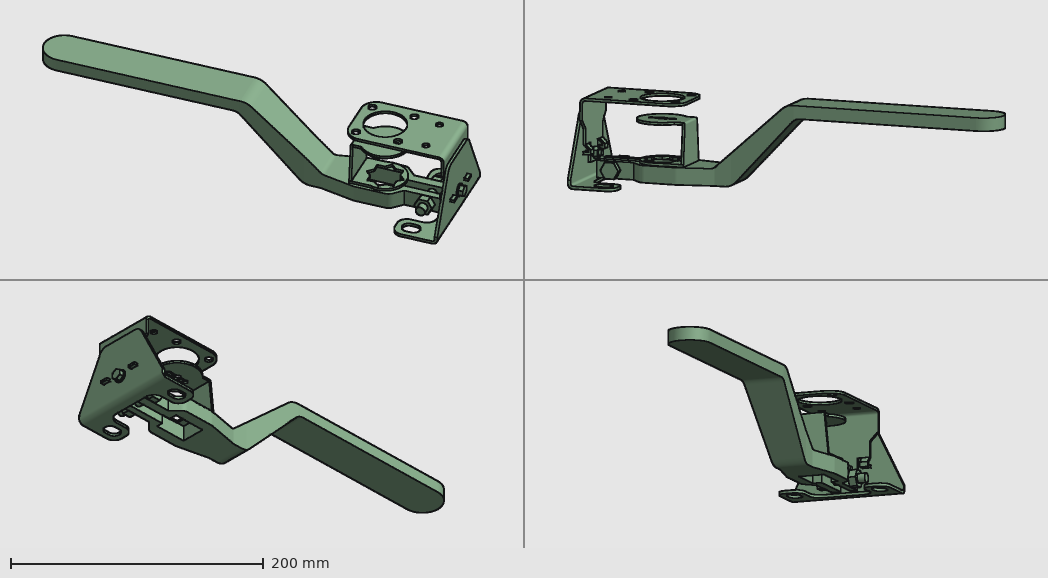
import cadquery as cq
import math


base_sheet = 2.5
base_half = 47.0
base_back_x = 62.5
base_inner_bend = 2.0
base_shoulder_z = 7.0
plate_top_z = 59.0
plate_top_half = 21.0
plate_corner = 8.0
ear_end_x = 23.2
ear_width = 21.5
ear_corner = 8.2
ear_slot_x = 36.0
ear_slot_length = 15.5
ear_slot_width = 11.0
pocket_end_x = 50.5
pocket_corner = 9.0

top_sheet = 2.0
top_z = 70.0
top_front_x = -25.7
top_half = 26.5
top_corner = 13.0
top_inner_bend = 2.5
bore_radius = 17.5
roof_hole_spacing = 35.5
roof_hole = 6.8
rear_hole_x = 40.3
rear_hole_y = 15.0
rear_hole = 5.7
shoulder_z = 51.7
tail_half = 19.0
tail_leg_bottom_z = 31.5
tail_fillet = 4.3
tongue_half = 8.2
tongue_bottom_z = 15.5

hook_inner_y = 12.0
hook_front_x = 53.5
hook_bottom_z = 23.2
hook_end_x = 65.5

screw_z = 22.0
screw_diameter = 5.0
screw_flats = 8.2
screw_tip_x = 51.0
screw_nut_thickness = 4.3
screw_head_end_x = 67.5
washer_diameter = 10.7
washer_thickness = 1.0

grip_end_x = -289.3
grip_half = 17.0
grip_bottom_z = 62.8
grip_top_z = 73.5
grip_under_end_x = -118.8
grip_top_end_x = -111.3
top_bend_outer = 14.3
top_bend_inner = 9.0
bottom_bend_outer = 13.2
bottom_bend_inner = 5.7
fork_bottom_z = 4.0
fork_top_z = 18.0
fork_under_start_x = -63.5
fork_top_start_x = -48.0
taper_start_x = -117.7
neck_half = 14.0
neck_start_x = -63.5
neck_end_x = -49.2
fork_half = 20.5
fork_wide_start_x = -19.0
fork_wide_end_x = 11.0
fork_flare_radius = 9.3
fork_shoulder_radius = 7.5
arm_half = 11.0
arm_end_x = 51.5
opening_start_x = -18.0
opening_end_x = 11.5
opening_half = 10.7
gap_right_y = -5.0
gap_left_y = 3.2

pivot_x = 39.0
pivot_diameter = 8.0
pivot_flats = 13.2
pivot_nut_thickness = 6.5
pivot_head_thickness = 5.5
pivot_end_y = -24.0

strap_sheet = 2.0
strap_front_x = -24.3
strap_top_z = 53.0
strap_top_half = 13.5
strap_bottom_half = 17.0
strap_bend = 1.8
upper_disc_radius = 20.5
lower_disc_radius = 18.2
slot_length = 23.0
slot_width = 3.5
slot_bore = 6.0
star_flats = 22.0

base_front_x = base_back_x - base_sheet
tail_front_x = base_front_x - top_sheet
ear_y = base_half - ear_width / 2
pocket_width = 2 * (base_half - ear_width)
hook_width = tail_half - hook_inner_y
hook_y = (tail_half + hook_inner_y) / 2
arm_start_x = fork_wide_end_x + fork_half - arm_half
pivot_z = (fork_bottom_z + fork_top_z) / 2
corner_ratio = 1 / math.cos(math.pi / 6)


def rod_x(start_x, end_x, diameter):
    """Cylinder along X on the clamp screw axis."""
    return cq.Workplane("YZ", origin=(start_x, 0, screw_z)).circle(diameter / 2).extrude(end_x - start_x)


def hexagon_x(start_x, end_x):
    """Hexagon along X on the clamp screw axis, one corner pointing up."""
    hexagon = cq.Workplane("YZ", origin=(start_x, 0, screw_z)).transformed(rotate=(0, 0, 30))
    return hexagon.polygon(6, screw_flats * corner_ratio).extrude(end_x - start_x)


def hexagon_y(start_y, thickness):
    """Hexagon on the pivot axis, grown toward -Y."""
    hexagon = cq.Workplane("XZ", origin=(pivot_x, start_y, pivot_z))
    return hexagon.polygon(6, pivot_flats * corner_ratio).extrude(thickness)


def side_profile(points, half_width):
    """XZ outline extruded equally to both sides of Y = 0."""
    return cq.Workplane("XZ").polyline(points).close().extrude(half_width, both=True)


def base_angle():
    bend = cq.Workplane("XZ").polyline([
        (ear_end_x, 0),
        (base_back_x, 0),
        (base_back_x, plate_top_z),
        (base_front_x, plate_top_z),
        (base_front_x, base_sheet),
        (ear_end_x, base_sheet),
    ]).close().extrude(base_half, both=True)
    inner_edge = cq.selectors.NearestToPointSelector((base_front_x, 0, base_sheet))
    bend = bend.edges(inner_edge).fillet(base_inner_bend)
    outer_edge = cq.selectors.NearestToPointSelector((base_back_x, 0, 0))
    return bend.edges(outer_edge).fillet(base_inner_bend + base_sheet)


def make_base():
    taper = cq.Workplane("YZ").polyline([
        (-base_half, 0),
        (base_half, 0),
        (base_half, base_shoulder_z),
        (plate_top_half, plate_top_z),
        (-plate_top_half, plate_top_z),
        (-base_half, base_shoulder_z),
    ]).close().extrude(base_back_x).edges("|X and >Z").fillet(plate_corner)
    base = base_angle().intersect(taper)

    pocket = cq.Workplane("XY").box(pocket_end_x, pocket_width, base_sheet, centered=(False, True, False))
    pocket = pocket.edges("|Z and >X").fillet(pocket_corner)
    base = base.cut(pocket)
    base = base.edges("|Z and <X").fillet(ear_corner)

    ears = cq.Workplane("XY").pushPoints([(ear_slot_x, -ear_y), (ear_slot_x, ear_y)])
    base = base.cut(ears.slot2D(ear_slot_length, ear_slot_width).extrude(base_sheet))

    hook_slot_z = hook_bottom_z + top_sheet / 2
    hook_slots = cq.Workplane("YZ", origin=(base_front_x, 0, hook_slot_z))
    hook_slots = hook_slots.pushPoints([(-hook_y, 0), (hook_y, 0)])
    base = base.cut(hook_slots.rect(hook_width, top_sheet).extrude(base_sheet))
    return base.cut(rod_x(base_front_x, base_back_x, screw_diameter))


def roof_and_tail():
    sheet = side_profile([
        (top_front_x, top_z),
        (base_front_x, top_z),
        (base_front_x, tongue_bottom_z),
        (tail_front_x, tongue_bottom_z),
        (tail_front_x, top_z - top_sheet),
        (top_front_x, top_z - top_sheet),
    ], top_half)
    inner_edge = cq.selectors.NearestToPointSelector((tail_front_x, 0, top_z - top_sheet))
    sheet = sheet.edges(inner_edge).fillet(top_inner_bend)
    outer_edge = cq.selectors.NearestToPointSelector((base_front_x, 0, top_z))
    sheet = sheet.edges(outer_edge).fillet(top_inner_bend + top_sheet)
    return sheet.edges("|Z and <X").fillet(top_corner)


def tail_side_cut(side):
    """Material removed beside the tail: its sloped shoulder, then the step to the tongue."""
    slope_end_z = shoulder_z - (top_half - tail_half)
    cut = cq.Workplane("YZ", origin=(top_front_x, 0, 0)).polyline([
        (side * top_half, shoulder_z),
        (side * tail_half, slope_end_z),
        (side * tail_half, tail_leg_bottom_z),
        (side * tongue_half, tail_leg_bottom_z),
        (side * tongue_half, 0),
        (side * 2 * top_half, 0),
        (side * 2 * top_half, shoulder_z),
    ]).close().extrude(base_front_x - top_front_x)
    slope_end = cq.selectors.NearestToPointSelector((0, side * tail_half, slope_end_z))
    return cut.edges("|X").edges(slope_end).fillet(tail_fillet)


def tail_hook(side):
    """Leg of the tail that bends forward and then runs back through the base."""
    offset = base_front_x - hook_front_x - top_sheet
    bend_z = tail_leg_bottom_z - offset
    hook = cq.Workplane("XZ", origin=(0, side * hook_y, 0)).polyline([
        (tail_front_x, tail_leg_bottom_z),
        (hook_front_x, bend_z),
        (hook_front_x, hook_bottom_z),
        (hook_end_x, hook_bottom_z),
        (hook_end_x, hook_bottom_z + top_sheet),
        (hook_front_x + top_sheet, hook_bottom_z + top_sheet),
        (hook_front_x + top_sheet, bend_z),
        (base_front_x, tail_leg_bottom_z),
    ]).close()
    return hook.extrude(hook_width / 2, both=True)


def clamp_screw():
    screw = rod_x(screw_tip_x, screw_head_end_x, screw_diameter)
    screw = screw.union(hexagon_x(tail_front_x - screw_nut_thickness, tail_front_x))
    screw = screw.union(rod_x(base_back_x, base_back_x + washer_thickness, washer_diameter))
    return screw.union(hexagon_x(base_back_x, screw_head_end_x))


def make_top_bracket():
    bracket = roof_and_tail()
    for side in (-1, 1):
        bracket = bracket.cut(tail_side_cut(side))
        bracket = bracket.union(tail_hook(side))
    holes = cq.Workplane("XY", origin=(0, 0, top_z - top_sheet))
    bracket = bracket.cut(holes.circle(bore_radius).extrude(top_sheet))
    corners = holes.rect(roof_hole_spacing, roof_hole_spacing, forConstruction=True).vertices()
    bracket = bracket.cut(corners.circle(roof_hole / 2).extrude(top_sheet))
    rear = holes.pushPoints([(rear_hole_x, -rear_hole_y), (rear_hole_x, rear_hole_y)])
    bracket = bracket.cut(rear.circle(rear_hole / 2).extrude(top_sheet))
    return bracket.union(clamp_screw())


def lever_side():
    side = side_profile([
        (grip_end_x, grip_bottom_z),
        (grip_under_end_x, grip_bottom_z),
        (fork_under_start_x, fork_bottom_z),
        (arm_end_x, fork_bottom_z),
        (arm_end_x, fork_top_z),
        (fork_top_start_x, fork_top_z),
        (grip_top_end_x, grip_top_z),
        (grip_end_x, grip_top_z),
    ], fork_half)
    bends = [
        (grip_top_end_x, grip_top_z, top_bend_outer),
        (grip_under_end_x, grip_bottom_z, top_bend_inner),
        (fork_under_start_x, fork_bottom_z, bottom_bend_outer),
        (fork_top_start_x, fork_top_z, bottom_bend_inner),
    ]
    for x, z, radius in bends:
        side = side.edges("|Y").edges(cq.selectors.NearestToPointSelector((x, 0, z))).fillet(radius)
    return side


def lever_plan():
    edge = [
        (taper_start_x, grip_half),
        (neck_start_x, neck_half),
        (neck_end_x, neck_half),
        (fork_wide_start_x, fork_half),
        (fork_wide_end_x, fork_half),
        (arm_start_x, arm_half),
        (arm_end_x, arm_half),
    ]
    mirrored = [(x, -y) for x, y in reversed(edge)]
    round_x = grip_end_x + grip_half
    plan = cq.Workplane("XY").moveTo(round_x, grip_half)
    for point in edge + mirrored:
        plan = plan.lineTo(*point)
    plan = plan.lineTo(round_x, -grip_half).threePointArc((grip_end_x, 0), (round_x, grip_half))
    plan = plan.close().extrude(grip_top_z)
    for side in (-1, 1):
        for x, radius in ((fork_wide_start_x, fork_flare_radius), (fork_wide_end_x, fork_shoulder_radius)):
            corner = cq.selectors.NearestToPointSelector((x, side * fork_half, grip_top_z / 2))
            plan = plan.edges("|Z").edges(corner).fillet(radius)
    return plan


def fork_gap():
    """Wide opening under the spindle, continued by the narrow gap between the arms."""
    opening = [
        (opening_start_x, -opening_half),
        (opening_end_x, -opening_half),
        (opening_end_x, gap_right_y),
        (arm_end_x, gap_right_y),
        (arm_end_x, gap_left_y),
        (opening_end_x, gap_left_y),
        (opening_end_x, opening_half),
        (opening_start_x, opening_half),
    ]
    return cq.Workplane("XY").polyline(opening).close().extrude(grip_top_z)


def pivot_bolt():
    head_y = arm_half + pivot_head_thickness
    rod = cq.Workplane("XZ", origin=(pivot_x, head_y, pivot_z)).circle(pivot_diameter / 2)
    rod = rod.extrude(head_y - pivot_end_y)
    head = hexagon_y(head_y, pivot_head_thickness)
    nut = hexagon_y(-arm_half, pivot_nut_thickness)
    return rod.union(head).union(nut)


def make_lever():
    return lever_side().intersect(lever_plan()).cut(fork_gap()).union(pivot_bolt())


def strap_plate(bottom_z, disc_radius, neck):
    """Disc with a straight neck that reaches the strap wall."""
    plane = cq.Workplane("XY", origin=(0, 0, bottom_z))
    arm = plane.center(strap_front_x / 2, 0).rect(-strap_front_x, 2 * neck).extrude(strap_sheet)
    return plane.circle(disc_radius).extrude(strap_sheet).union(arm)


def make_strap():
    upper_z = strap_top_z - strap_sheet
    upper = strap_plate(upper_z, upper_disc_radius, strap_top_half)
    upper_plane = cq.Workplane("XY", origin=(0, 0, upper_z))
    upper = upper.cut(upper_plane.slot2D(slot_length, slot_width).extrude(strap_sheet))
    upper = upper.cut(upper_plane.circle(slot_bore / 2).extrude(strap_sheet))

    lower = strap_plate(fork_top_z, lower_disc_radius, strap_bottom_half)
    for angle in (0, 45):
        square = cq.Workplane("XY", origin=(0, 0, fork_top_z)).transformed(rotate=(0, 0, angle))
        lower = lower.cut(square.rect(star_flats, star_flats).extrude(strap_sheet))

    wall = cq.Workplane("YZ", origin=(strap_front_x, 0, 0)).polyline([
        (-strap_bottom_half, fork_top_z),
        (strap_bottom_half, fork_top_z),
        (strap_top_half, strap_top_z),
        (-strap_top_half, strap_top_z),
    ]).close().extrude(strap_sheet)
    strap = wall.union(upper).union(lower)
    bend = cq.selectors.NearestToPointSelector((strap_front_x, 0, strap_top_z))
    return strap.edges("|Y").edges(bend).fillet(strap_bend)


base = make_base()
top_bracket = make_top_bracket()
lever = make_lever()
strap = make_strap()
result = cq.Compound.makeCompound([base.val(), top_bracket.val(), lever.val(), strap.val()])